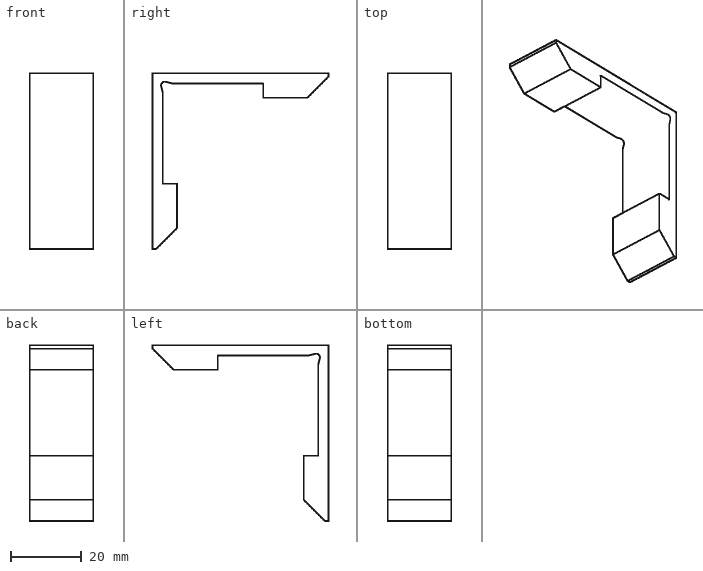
import cadquery as cq
import math

width = 18.0
leg = 49.7
wall = 3.0
foot_depth = 7.0
foot_length = 18.5
tip = 1.0
relief_radius = 1.0
relief_wall = 2.5
flare_angle = math.radians(14.0)

chamfer = foot_depth - tip
foot_start = leg - foot_length
relief_center = relief_wall + relief_radius
flank_end_along = relief_center + relief_radius * math.sin(flare_angle)
flank_end_depth = relief_center - relief_radius * math.cos(flare_angle)
flank_start_along = flank_end_along + (wall - flank_end_depth) / math.tan(flare_angle)
half_outline = [
    (leg, 0),
    (leg, tip),
    (leg - chamfer, foot_depth),
    (foot_start, foot_depth),
    (foot_start, wall),
    (flank_start_along, wall),
    (flank_end_along, flank_end_depth),
]

top_leg = [(along, -depth) for along, depth in half_outline]
front_leg = [(depth, -along) for along, depth in reversed(half_outline)]

arc_middle = relief_center - relief_radius * math.sqrt(0.5)

result = (
    cq.Workplane("YZ")
    .polyline([(0, 0)] + top_leg)
    .threePointArc((arc_middle, -arc_middle), front_leg[0])
    .polyline(front_leg[1:], includeCurrent=True)
    .close()
    .extrude(width / 2, both=True)
)